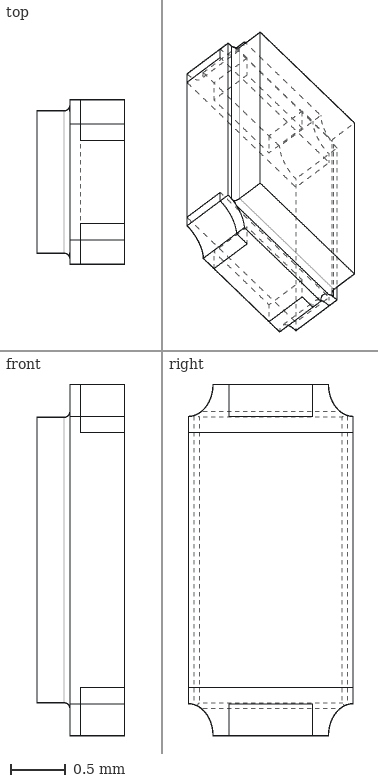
import cadquery as cq

length = 3.2
width = 1.5
thickness = 0.8

lid_height = 0.3
lid_width = 1.3
lid_length = 2.6
foot_radius = 0.05

notch_width = 0.225
notch_length = 0.29

terminal_setback = 0.095
post_wall = 0.147

base_front = lid_height
terminal_front = base_front + terminal_setback
terminal_depth = thickness - terminal_front
post_width = notch_width + post_wall
post_length = notch_length + post_wall


def block(x_start, depth, size_y, size_z, center_y=0, center_z=0):
    """Box starting at x_start, centred in Y and Z on the given point."""
    return (
        cq.Workplane("XY")
        .box(depth, size_y, size_z, centered=(False, True, True))
        .translate((x_start, center_y, center_z))
    )


def make_notches():
    """Elliptical cylinders along X centred on the four corners of the base."""
    corners = [(y * width / 2, z * length / 2) for y in (-1, 1) for z in (-1, 1)]
    return cq.Workplane("YZ").pushPoints(corners).ellipse(notch_width, notch_length).extrude(thickness)


def make_terminal(end):
    """Two corner posts and their bridge at one end (end is +1 or -1 along Z)."""
    bridge_z = end * (length / 2 - notch_length - post_wall / 2)
    terminal = block(terminal_front, terminal_depth, width - 2 * post_width, post_wall, 0, bridge_z)
    post_z = end * (length - post_length) / 2
    for side in (-1, 1):
        post_y = side * (width - post_width) / 2
        terminal = terminal.union(
            block(terminal_front, terminal_depth, post_width, post_length, post_y, post_z)
        )
    return terminal.cut(make_notches())


def make_base(terminals):
    """Notched base with pockets that hold the terminals."""
    base = block(base_front, thickness - base_front, width, length).cut(make_notches())
    for terminal in terminals:
        base = base.cut(terminal)
    return base


def make_lid():
    """Rectangular lid whose filleted foot is trimmed by the corner notches."""
    foot_width = lid_width + 2 * foot_radius
    foot_length = lid_length + 2 * foot_radius
    groove_x = base_front - foot_radius
    foot = block(groove_x, foot_radius, foot_width, foot_length)
    for side in (-1, 1):
        groove_y = side * foot_width / 2
        groove_z = side * foot_length / 2
        along_z = cq.Solid.makeCylinder(
            foot_radius, length, cq.Vector(groove_x, groove_y, -length / 2), cq.Vector(0, 0, 1)
        )
        along_y = cq.Solid.makeCylinder(
            foot_radius, width, cq.Vector(groove_x, -width / 2, groove_z), cq.Vector(0, 1, 0)
        )
        foot = foot.cut(along_z).cut(along_y)
    foot = foot.cut(make_notches())
    return block(0, lid_height, lid_width, lid_length).union(foot)


lid = make_lid()
terminals = [make_terminal(end) for end in (-1, 1)]
base = make_base(terminals)

result = cq.Compound.makeCompound([lid.val(), base.val(), *[terminal.val() for terminal in terminals]])